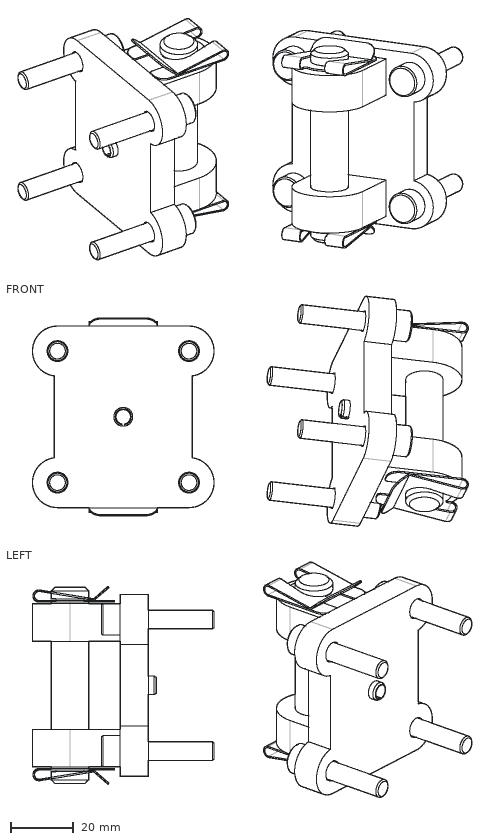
import cadquery as cq
import math


plate_thickness = 9.0
corner_radius = 8.0
screw_spacing = 41.95
plate_height = screw_spacing + 2 * corner_radius
waist_width = 44.0

lug_radius = 12
lug_thickness = 12
lug_gap = 28.05
pin_standoff = 16.0
pin_y = plate_thickness + pin_standoff
lug_outer_z = lug_gap / 2 + lug_thickness

screw_diameter = 6.0
screw_hole_diameter = 6.6
screw_length = 30.0
screw_tip_chamfer = 0.5
head_diameter = 10.0
head_height = 6.0
head_chamfer = 0.5

locator_diameter = 6.0
locator_projection = 2.5
locator_chamfer_length = 0.7
locator_chamfer_depth = 0.45
locator_length = 10.0
locator_depth = locator_length - locator_projection
locator_bore_diameter = 4.6
locator_slot_width = 0.75

pin_diameter = 12
pin_length = 62.65
pin_chamfer = 1.2
groove_diameter = 9.0
groove_width = 1.0
groove_offset = 0.5
groove_z = lug_outer_z + groove_offset

clip_thickness = 0.5
clip_width = 22.0
clip_corner_radius = 4.0
leaf_reach = 14.15
leaf_arc_radius = 8.9
slot_corner_radius = 1.0
bend_offset = 9.85
bend_radius = 1.7
kink_offset = 7.65
kink_gap = 0.05
tail_angle = math.radians(41)
bend_gap_width = 9.5
bend_gap_corner_radius = 0.75
arm_mouth_width = groove_diameter
arm_hole_radius = pin_diameter / 2
leaf_middle_z = groove_z + clip_thickness / 2
leaf_top_z = groove_z + clip_thickness
tail_tip_z = 31.6

cut_margin = 3.15


def make_bracket():
    """Plate with four round corner ears and two lugs bored for the clevis pin."""
    plate = cq.Workplane("XY").box(
        screw_spacing, plate_thickness, plate_height, centered=(True, False, True))
    waist = cq.Workplane("XY").box(
        waist_width, plate_thickness, screw_spacing, centered=(True, False, True))
    ears = (
        cq.Workplane("XZ")
        .rect(screw_spacing, screw_spacing, forConstruction=True)
        .vertices()
        .circle(corner_radius)
        .extrude(-plate_thickness)
    )
    bracket = plate.union(waist).union(ears)

    for lug_base_z in (lug_gap / 2, -lug_outer_z):
        lug = (
            cq.Workplane("XY", origin=(0, 0, lug_base_z))
            .moveTo(-lug_radius, plate_thickness)
            .lineTo(lug_radius, plate_thickness)
            .lineTo(lug_radius, pin_y)
            .threePointArc((0, pin_y + lug_radius), (-lug_radius, pin_y))
            .close()
            .extrude(lug_thickness)
        )
        bracket = bracket.union(lug)

    screw_holes = (
        cq.Workplane("XZ")
        .rect(screw_spacing, screw_spacing, forConstruction=True)
        .vertices()
        .circle(screw_hole_diameter / 2)
        .extrude(-plate_thickness)
    )
    locator_hole = cq.Workplane("XZ").circle(locator_diameter / 2).extrude(-locator_depth)
    pin_bore = (
        cq.Workplane("XY", origin=(0, pin_y, -plate_height / 2))
        .circle(pin_diameter / 2)
        .extrude(plate_height)
    )
    return bracket.cut(screw_holes).cut(locator_hole).cut(pin_bore)


def make_screw(x, z):
    """Cap screw with its head seated on the back face of the plate."""
    seat = cq.Workplane("XZ", origin=(x, plate_thickness, z))
    shank = (
        seat.circle(screw_diameter / 2)
        .extrude(screw_length)
        .faces("<Y")
        .chamfer(screw_tip_chamfer)
    )
    head = (
        seat.circle(head_diameter / 2)
        .extrude(-head_height)
        .faces(">Y")
        .edges()
        .chamfer(head_chamfer)
    )
    return shank.union(head)


def make_locator():
    """Slotted spring pin seated in a blind hole, tapered at its free end."""
    radius = locator_diameter / 2
    bore_radius = locator_bore_diameter / 2
    tube = (
        cq.Workplane("XY")
        .moveTo(bore_radius, locator_depth)
        .lineTo(radius, locator_depth)
        .lineTo(radius, locator_chamfer_length - locator_projection)
        .lineTo(radius - locator_chamfer_depth, -locator_projection)
        .lineTo(bore_radius, -locator_projection)
        .close()
        .revolve(360, (0, 0, 0), (0, 1, 0))
    )
    slot = cq.Workplane("XY", origin=(0, -locator_projection, -radius)).box(
        locator_slot_width, locator_length, radius, centered=(True, False, False))
    return tube.cut(slot)


def make_clevis_pin():
    """Pin through both lugs with chamfered ends and a clip groove at each end."""
    pin = (
        cq.Workplane("XY", origin=(0, pin_y, -pin_length / 2))
        .circle(pin_diameter / 2)
        .extrude(pin_length)
        .faces("<Z or >Z")
        .chamfer(pin_chamfer)
    )
    for groove_base_z in (groove_z, -groove_z - groove_width):
        groove = (
            cq.Workplane("XY", origin=(0, pin_y, groove_base_z))
            .circle(pin_diameter / 2)
            .circle(groove_diameter / 2)
            .extrude(groove_width)
        )
        pin = pin.cut(groove)
    return pin


def make_clip_strip():
    """Bent strip of constant thickness: flat leaf, round bend, sloping arm, raised tail."""
    half = clip_thickness / 2
    bend_y = pin_y + bend_offset
    bend_z = leaf_middle_z + bend_radius
    kink_y = pin_y - kink_offset
    kink_z = leaf_middle_z + clip_thickness + kink_gap

    to_bend_y = bend_y - kink_y
    to_bend_z = bend_z - kink_z
    arm_angle = (math.atan2(to_bend_z, to_bend_y)
                 + math.asin(bend_radius / math.hypot(to_bend_y, to_bend_z)))

    mitre_angle = (arm_angle - tail_angle) / 2
    mitre_length = half / math.cos((arm_angle + tail_angle) / 2)
    tail_rise = tail_tip_z - half * math.cos(tail_angle) - kink_z
    tip_y = kink_y - tail_rise / math.tan(tail_angle)
    tip_z = kink_z + tail_rise

    def arm_start(radius):
        return (bend_y - radius * math.sin(arm_angle), bend_z + radius * math.cos(arm_angle))

    def bend_middle(radius):
        return (bend_y + radius, bend_z)

    def kink(side):
        return (kink_y - side * mitre_length * math.sin(mitre_angle),
                kink_z + side * mitre_length * math.cos(mitre_angle))

    def tip(side):
        return (tip_y + side * half * math.sin(tail_angle),
                tip_z + side * half * math.cos(tail_angle))

    outer_radius = bend_radius + half
    inner_radius = bend_radius - half
    leaf_end_y = pin_y - leaf_reach
    strip = (
        cq.Workplane("YZ")
        .moveTo(leaf_end_y, groove_z)
        .lineTo(bend_y, groove_z)
        .threePointArc(bend_middle(outer_radius), arm_start(outer_radius))
        .lineTo(*kink(1))
        .lineTo(*tip(1))
        .lineTo(*tip(-1))
        .lineTo(*kink(-1))
        .lineTo(*arm_start(inner_radius))
        .threePointArc(bend_middle(inner_radius), (bend_y, leaf_top_z))
        .lineTo(leaf_end_y, leaf_top_z)
        .close()
        .extrude(clip_width / 2, both=True)
    )

    tail_normal = cq.Vector(0, math.sin(tail_angle), math.cos(tail_angle))
    strip = strip.edges("|Z").fillet(clip_corner_radius)
    return strip.edges(cq.selectors.ParallelDirSelector(tail_normal)).fillet(clip_corner_radius)


def make_clip():
    """Spring clip on the top groove, its leaf slotted to straddle the groove floor."""
    slot_half = groove_diameter / 2
    bend_end = bend_offset + bend_radius + clip_thickness / 2
    leaf_plane = cq.Workplane("XY", origin=(0, pin_y, groove_z))
    arm_plane = cq.Workplane("XY", origin=(0, pin_y, leaf_top_z))

    leaf_slot = (
        leaf_plane.moveTo(-slot_half, -leaf_reach)
        .lineTo(-slot_half, 0)
        .threePointArc((0, slot_half), (slot_half, 0))
        .lineTo(slot_half, -leaf_reach)
        .close()
        .extrude(clip_thickness)
    )

    gap_half = bend_gap_width / 2
    arc_end = math.sqrt(leaf_arc_radius ** 2 - gap_half ** 2)
    bend_gap = (
        leaf_plane.moveTo(-gap_half, arc_end)
        .threePointArc((0, leaf_arc_radius), (gap_half, arc_end))
        .lineTo(gap_half, bend_end + cut_margin)
        .lineTo(-gap_half, bend_end + cut_margin)
        .close()
        .extrude(clip_thickness)
        .edges("|Z and <Y")
        .fillet(bend_gap_corner_radius)
    )

    mouth_half = arm_mouth_width / 2
    tangent_angle = (math.atan2(bend_end, mouth_half)
                     - math.acos(arm_hole_radius / math.hypot(mouth_half, bend_end)))
    tangent_x = arm_hole_radius * math.cos(tangent_angle)
    tangent_y = arm_hole_radius * math.sin(tangent_angle)
    arm_opening = (
        arm_plane.moveTo(-mouth_half, bend_end)
        .lineTo(-tangent_x, tangent_y)
        .threePointArc((0, -arm_hole_radius), (tangent_x, tangent_y))
        .lineTo(mouth_half, bend_end)
        .close()
        .extrude(2 * bend_radius + cut_margin)
    )

    clip = make_clip_strip().cut(leaf_slot)
    clip = clip.edges("|Z and <Y").fillet(slot_corner_radius)
    return clip.cut(bend_gap).cut(arm_opening)


bracket = make_bracket()
locator = make_locator()
clevis_pin = make_clevis_pin()

screws = []
for screw_x in (-screw_spacing / 2, screw_spacing / 2):
    for screw_z in (-screw_spacing / 2, screw_spacing / 2):
        screws.append(make_screw(screw_x, screw_z).val())

top_clip = make_clip()
clips = [top_clip.val(), top_clip.mirror("XY").val()]

result = cq.Compound.makeCompound(
    [bracket.val(), locator.val(), clevis_pin.val(), *screws, *clips])